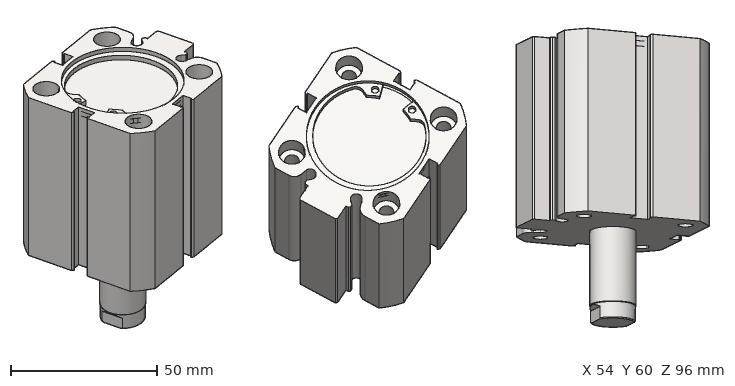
import cadquery as cq
import math


HOUSING_WIDTH = 54.0
HALF_WIDTH = HOUSING_WIDTH / 2
HOUSING_LENGTH = 64.0
CORNER_RADIUS = 34.1

RAIL_TOP = 33.0
RAIL_HALF_WIDTH = 7.6
RAIL_CHAMFER = 0.6
KNOB_HALF_WIDTH = 9.1
KNOB_HEIGHT = 1.4
KNOB_CHAMFER = 0.6

RELIEF_X = 9.2
RELIEF_Y = 22.8
RELIEF_RADIUS = 2.0
SHOULDER_X = 15.2
SHOULDER_RADIUS = 3.5
SHOULDER_Y = HALF_WIDTH - SHOULDER_RADIUS

SLOT_HALF_WIDTH = 3.3
SLOT_DEPTH = 4.4
MOUTH_HALF_WIDTH = 2.7
LIP_THICKNESS = 1.0
LIP_CHAMFER = SLOT_HALF_WIDTH - MOUTH_HALF_WIDTH

HOLE_OFFSET = 18.9
HOLE_DIAMETER = 5.1
COUNTERBORE_DIAMETER = 9.1
COUNTERBORE_DEPTH = 7.0

BORE_RADIUS = 21.0
RING_RECESS = 1.6
RING_THICKNESS = 1.8
CAP_THICKNESS = 9.6
RING_BOTTOM = HOUSING_LENGTH - RING_RECESS - RING_THICKNESS
CAP_BOTTOM = RING_BOTTOM - CAP_THICKNESS

RING_OUTER_RADIUS = 22.3
RING_INNER_RADIUS = 19.4
RING_INNER_SHIFT = 1.1
RING_GAP_HALF_ANGLE = 16.8
LUG_RADIUS = 16.3
LUG_END_ANGLE = 32.5
LUG_HOLE_X = 7.4
LUG_HOLE_Y = -17.1
LUG_HOLE_DIAMETER = 2.6
NECK_START = (10.5, -14.6)
NECK_MIDDLE = (12.1, -15.1)
NECK_END_X = 14.6

ROD_LENGTH = 32.0
ROD_DIAMETER = 15.9
TIP_LENGTH = 5.8
TIP_DIAMETER = 15.6
TIP_CHAMFER = 0.4
ROD_STEP = (ROD_DIAMETER - TIP_DIAMETER) / 2
FLAT_OFFSET = 6.5
FLAT_HEIGHT = 4.3
FLAT_RUNOUT = 2.4


def mirrored(points):
    """Reflect points across the YZ plane."""
    return [(-x, y) for x, y in points]


def polar(radius, angle_from_minus_y):
    """Point on a circle about the axis, with the angle turning from -Y towards +X."""
    angle = math.radians(angle_from_minus_y)
    return (radius * math.sin(angle), -radius * math.cos(angle))


def disc(radius, bottom, height):
    """Solid cylinder about the Z axis."""
    return cq.Workplane("XY", origin=(0, 0, bottom)).circle(radius).extrude(height)


def on_circle(x, y, radius, angle):
    """Point on a circle about (x, y), with the angle in radians turning from +X."""
    return (x + radius * math.cos(angle), y + radius * math.sin(angle))


def relief_outline():
    """Closed outline of the empty space on the -X side of the rail."""
    dx = SHOULDER_X - RELIEF_X
    dy = RELIEF_Y - SHOULDER_Y
    reach = (SHOULDER_RADIUS + RELIEF_RADIUS) / math.hypot(dx, dy)
    tangent = math.atan2(dy, dx) + math.acos(reach)
    shoulder_mid = (math.pi / 2 + tangent) / 2
    relief_start = math.pi + tangent
    relief_end = 2 * math.pi + math.radians(45)
    relief_mid = (relief_start + relief_end) / 2

    shoulder = (-SHOULDER_X, SHOULDER_Y, SHOULDER_RADIUS)
    relief = (-RELIEF_X, RELIEF_Y, RELIEF_RADIUS)
    relief_exit = on_circle(*relief, relief_end)
    knob_bottom = HALF_WIDTH - KNOB_HEIGHT
    return (
        cq.Workplane("XY")
        .moveTo(-SHOULDER_X, HALF_WIDTH)
        .threePointArc(on_circle(*shoulder, shoulder_mid), on_circle(*shoulder, tangent))
        .lineTo(*on_circle(*relief, relief_start))
        .threePointArc(on_circle(*relief, relief_mid), relief_exit)
        .lineTo(-KNOB_HALF_WIDTH, knob_bottom)
        .lineTo(-KNOB_HALF_WIDTH, HALF_WIDTH - KNOB_CHAMFER)
        .lineTo(-KNOB_HALF_WIDTH + KNOB_CHAMFER, HALF_WIDTH)
        .close()
    )


def make_slot():
    """Cutter for one lipped slot, open on the -Y side."""
    outer = -HALF_WIDTH
    half = [
        (SLOT_HALF_WIDTH, outer),
        (MOUTH_HALF_WIDTH, outer + LIP_CHAMFER),
        (MOUTH_HALF_WIDTH, outer + LIP_THICKNESS),
        (SLOT_HALF_WIDTH, outer + LIP_THICKNESS),
        (SLOT_HALF_WIDTH, outer + SLOT_DEPTH),
    ]
    outline = half + mirrored(half)[::-1]
    return cq.Workplane("XY").polyline(outline).close().extrude(HOUSING_LENGTH)


def make_housing():
    housing = cq.Workplane("XY").rect(HOUSING_WIDTH, HOUSING_WIDTH).extrude(HOUSING_LENGTH)
    housing = housing.intersect(disc(CORNER_RADIUS, 0, HOUSING_LENGTH))

    rail = (
        cq.Workplane("XY")
        .center(0, RAIL_TOP / 2)
        .rect(2 * RAIL_HALF_WIDTH, RAIL_TOP)
        .extrude(HOUSING_LENGTH)
        .edges("|Z and >Y")
        .chamfer(RAIL_CHAMFER)
    )
    housing = housing.union(rail)
    relief = relief_outline().extrude(HOUSING_LENGTH)
    housing = housing.cut(relief).cut(relief.mirror("YZ"))

    slot = make_slot()
    for angle in (-90, 0, 90):
        housing = housing.cut(slot.rotate((0, 0, 0), (0, 0, 1), angle))

    housing = (
        housing.faces(">Z")
        .workplane(origin=(0, 0, HOUSING_LENGTH))
        .rect(2 * HOLE_OFFSET, 2 * HOLE_OFFSET, forConstruction=True)
        .vertices()
        .cboreHole(HOLE_DIAMETER, COUNTERBORE_DIAMETER, COUNTERBORE_DEPTH)
    )

    bore = disc(BORE_RADIUS, CAP_BOTTOM, HOUSING_LENGTH - CAP_BOTTOM)
    groove = disc(RING_OUTER_RADIUS, RING_BOTTOM, RING_THICKNESS)
    rod_hole = disc(ROD_DIAMETER / 2, 0, CAP_BOTTOM)
    return housing.cut(bore).cut(groove).cut(rod_hole)


def make_end_cap():
    return disc(BORE_RADIUS, CAP_BOTTOM, CAP_THICKNESS)


def make_retaining_ring():
    """Internal retaining ring with two drilled lugs beside its gap."""
    gap_outer = polar(RING_OUTER_RADIUS, RING_GAP_HALF_ANGLE)
    lug_corner = polar(LUG_RADIUS, RING_GAP_HALF_ANGLE)
    lug_middle = polar(LUG_RADIUS, (RING_GAP_HALF_ANGLE + LUG_END_ANGLE) / 2)
    lug_tip = polar(LUG_RADIUS, LUG_END_ANGLE)
    neck_end = (NECK_END_X, -RING_INNER_SHIFT - math.sqrt(RING_INNER_RADIUS**2 - NECK_END_X**2))
    right = [gap_outer, lug_corner, lug_middle, lug_tip, NECK_START, NECK_MIDDLE, neck_end]
    left_outer, left_corner, left_middle, left_tip, left_start, left_neck, left_end = mirrored(right)
    return (
        cq.Workplane("XY", origin=(0, 0, RING_BOTTOM))
        .moveTo(*gap_outer)
        .lineTo(*lug_corner)
        .threePointArc(lug_middle, lug_tip)
        .lineTo(*NECK_START)
        .threePointArc(NECK_MIDDLE, neck_end)
        .threePointArc((0, RING_INNER_RADIUS - RING_INNER_SHIFT), left_end)
        .threePointArc(left_neck, left_start)
        .lineTo(*left_tip)
        .threePointArc(left_middle, left_corner)
        .lineTo(*left_outer)
        .threePointArc((0, RING_OUTER_RADIUS), gap_outer)
        .close()
        .extrude(RING_THICKNESS)
        .faces(">Z")
        .workplane(origin=(0, 0, RING_BOTTOM + RING_THICKNESS))
        .pushPoints([(-LUG_HOLE_X, LUG_HOLE_Y), (LUG_HOLE_X, LUG_HOLE_Y)])
        .hole(LUG_HOLE_DIAMETER)
    )


def make_rod():
    tip_bottom = -ROD_LENGTH
    tip_top = tip_bottom + TIP_LENGTH
    shank = disc(ROD_DIAMETER / 2, tip_top, CAP_BOTTOM - tip_top).faces("<Z").chamfer(ROD_STEP)
    tip = disc(TIP_DIAMETER / 2, tip_bottom, TIP_LENGTH).faces("<Z").chamfer(TIP_CHAMFER)
    rod = shank.union(tip)

    flat_top = tip_bottom + FLAT_HEIGHT
    flat = (
        cq.Workplane("YZ", origin=(-ROD_DIAMETER / 2, 0, 0))
        .moveTo(FLAT_OFFSET, tip_bottom)
        .lineTo(FLAT_OFFSET, flat_top)
        .lineTo(FLAT_OFFSET + FLAT_RUNOUT, flat_top + FLAT_RUNOUT)
        .lineTo(FLAT_OFFSET + FLAT_RUNOUT, tip_bottom)
        .close()
        .extrude(ROD_DIAMETER)
    )
    return rod.cut(flat).cut(flat.mirror("XZ"))


housing = make_housing()
end_cap = make_end_cap()
retaining_ring = make_retaining_ring()
rod = make_rod()

result = cq.Compound.makeCompound(
    [body.solids().val() for body in (housing, end_cap, retaining_ring, rod)]
)